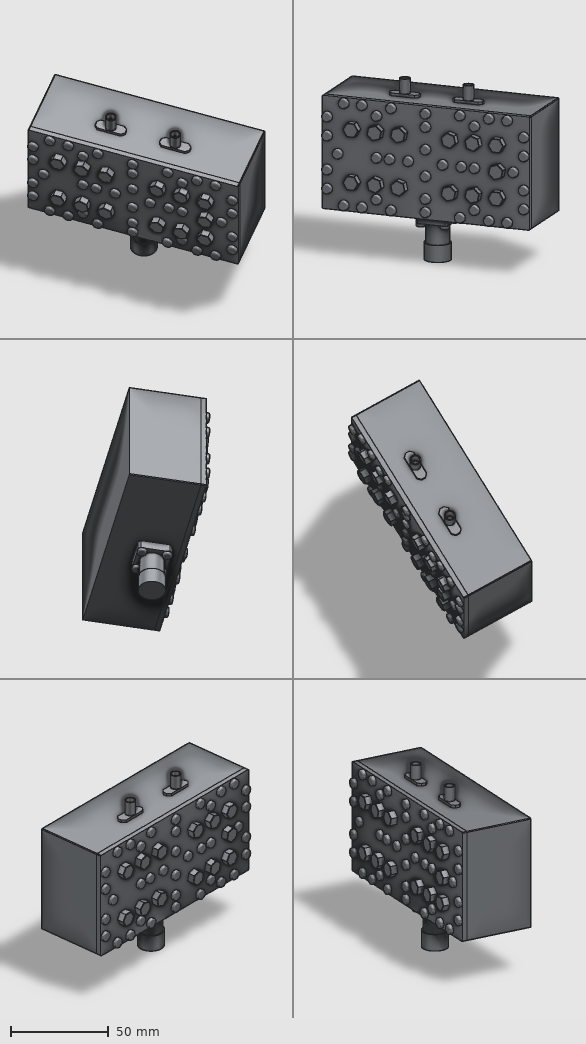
import cadquery as cq

box_length = 114.1
box_height = 60.0
housing_depth = 37.4
cover_thickness = 2.7
box_edge_chamfer = 0.5
cover_front_y = -(housing_depth + cover_thickness)

socket_spacing = 34.9
socket_y = -25.3
socket_flange_length = 16.3
socket_flange_width = 5.7
socket_flange_thickness = 1.5
socket_flange_chamfer = 1.7
socket_height = 9.4
socket_diameter = 5.5
socket_bore = 4.3

connector_y = -24.0
mount_width = 17.6
mount_height = 4.8
mount_chamfer = 1.1
barrel_diameter = 12.4
barrel_end = 16.1
collar_diameter = 13.9
connector_length = 25.1
mount_screw_offset = 6.6
mount_screw_diameter = 5.0
mount_screw_height = 1.9

screw_rim_radius = 0.9
cover_screw_diameter = 5.5
cover_screw_height = 2.0

mirrored_screws = [
    (0.0, 7.1),
    (0.0, 19.0),
    (0.0, 26.1),
    (9.5, 0.0),
    (19.7, 0.0),
    (26.9, 0.0),
    (48.3, 0.0),
    (18.9, 27.0),
    (34.9, 27.0),
    (45.0, 27.0),
    (26.9, 22.1),
    (54.1, 9.0),
    (54.1, 19.0),
]

nut_corner_diameter = 8.3
nut_height = 4.0
nut_edge_chamfer = 0.2
nut_row_z = 14.0
nut_middle_z = 13.8
nut_outer_x = 39.9
nut_middle_x = 26.9
nut_inner_x = 13.9
nut_turn = 18.0
nuts = [
    (-nut_outer_x, nut_row_z, 0),
    (-nut_middle_x, nut_middle_z, nut_turn),
    (-nut_inner_x, nut_row_z, nut_turn),
    (nut_inner_x, nut_row_z, -nut_turn),
    (nut_middle_x, nut_middle_z, -nut_turn),
    (nut_outer_x, nut_row_z, 0),
    (nut_outer_x, 0, nut_turn),
    (-nut_outer_x, -nut_row_z, 0),
    (-nut_middle_x, -nut_middle_z, -nut_turn),
    (-nut_inner_x, -nut_row_z, -nut_turn),
    (nut_inner_x, -nut_row_z, nut_turn),
    (nut_middle_x, -nut_middle_z, nut_turn),
    (nut_outer_x, -nut_row_z, 0),
]


def make_block(back_y, depth):
    """Box slice running from back_y toward -Y, with its four long edges chamfered."""
    return (
        cq.Workplane("XZ", origin=(0, back_y, 0))
        .rect(box_length, box_height)
        .extrude(depth)
        .edges("|Y")
        .chamfer(box_edge_chamfer)
    )


def make_screw_head(plane, diameter, height):
    """Screw head standing on the given plane, rounded at its outer rim."""
    return (
        cq.Workplane(plane)
        .circle(diameter / 2)
        .extrude(height)
        .faces(cq.selectors.DirectionMinMaxSelector(plane.zDir, True))
        .edges()
        .fillet(screw_rim_radius)
    )


def make_socket(x):
    """Tubular socket with a clipped-corner flange, standing on the top face."""
    base = cq.Workplane("XY", origin=(x, socket_y, box_height / 2))
    flange = (
        base.rect(socket_flange_length, socket_flange_width)
        .extrude(socket_flange_thickness)
        .edges("|Z")
        .chamfer(socket_flange_chamfer)
    )
    tube = base.circle(socket_diameter / 2).extrude(socket_height)
    bore = (
        base.workplane(offset=socket_flange_thickness)
        .circle(socket_bore / 2)
        .extrude(socket_height - socket_flange_thickness)
    )
    return flange.union(tube).cut(bore)


def make_connector():
    """Square mount, barrel and collar hanging from the bottom face, with four screw heads."""
    bottom_z = -box_height / 2
    base = cq.Workplane("XY", origin=(0, connector_y, bottom_z))
    connector = base.rect(mount_width, mount_width).extrude(-mount_height).edges("|Z").chamfer(mount_chamfer)
    barrel = base.circle(barrel_diameter / 2).extrude(-barrel_end)
    collar = (
        base.workplane(offset=-barrel_end)
        .circle(collar_diameter / 2)
        .extrude(barrel_end - connector_length)
    )
    connector = connector.union(barrel).union(collar)
    for side_x in (-1, 1):
        for side_y in (-1, 1):
            seat = cq.Plane(
                origin=(
                    side_x * mount_screw_offset,
                    connector_y + side_y * mount_screw_offset,
                    bottom_z - mount_height,
                ),
                normal=(0, 0, -1),
            )
            connector = connector.union(make_screw_head(seat, mount_screw_diameter, mount_screw_height))
    return connector


def make_housing():
    """Box with both sockets on top and the large connector below."""
    housing = make_block(0, housing_depth)
    for x in (-socket_spacing / 2, socket_spacing / 2):
        housing = housing.union(make_socket(x))
    return housing.union(make_connector())


def make_nut(x, z, turn):
    """Hexagonal nut on the cover front, lightly chamfered at its outer face."""
    nut = (
        cq.Workplane("XZ")
        .polygon(6, nut_corner_diameter)
        .extrude(nut_height)
        .faces("<Y")
        .chamfer(nut_edge_chamfer)
    )
    return nut.rotate((0, 0, 0), (0, -1, 0), turn).translate((x, cover_front_y, z))


def make_cover():
    """Front plate with its screw heads and tuning nuts."""
    cover = make_block(-housing_depth, cover_thickness)
    for x, z in mirrored_screws:
        for screw_x in sorted({x, -x}):
            for screw_z in sorted({z, -z}):
                seat = cq.Plane(origin=(screw_x, cover_front_y, screw_z), normal=(0, -1, 0))
                cover = cover.union(make_screw_head(seat, cover_screw_diameter, cover_screw_height))
    for x, z, turn in nuts:
        cover = cover.union(make_nut(x, z, turn))
    return cover


housing = make_housing()
cover = make_cover()

result = cq.Compound.makeCompound([housing.val(), cover.val()])